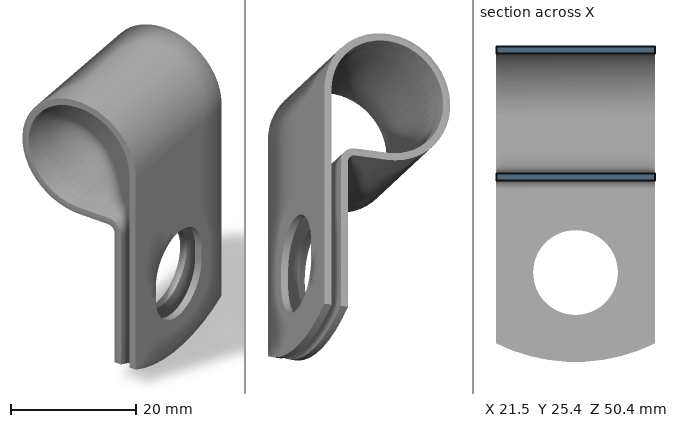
import cadquery as cq

height = 50.4
width = 25.4
loop_diameter = 21.5
thickness = 1.2

tab_gap = 1.6
bend_inner_radius = 1.2
hole_diameter = 13.5
hole_height = 14.25
slot_extension = 1.2
tip_rise = 2.95

outer_radius = loop_diameter / 2
inner_radius = outer_radius - thickness
bend_outer_radius = bend_inner_radius + thickness
bottom = outer_radius - height
short_tab_right = inner_radius - tab_gap
short_tab_left = short_tab_right - thickness
bend_x = short_tab_left - bend_inner_radius
bend_z = -outer_radius - bend_inner_radius
half_width = width / 2
diagonal = 0.5 ** 0.5


def make_strip():
    """Bent strip: long tab, three-quarter loop, flat, bend and short tab."""
    profile = (
        cq.Workplane("XZ")
        .moveTo(outer_radius, bottom)
        .lineTo(outer_radius, 0)
        .threePointArc((-outer_radius * diagonal, outer_radius * diagonal), (0, -outer_radius))
        .lineTo(bend_x, -outer_radius)
        .threePointArc(
            (bend_x + bend_inner_radius * diagonal, bend_z + bend_inner_radius * diagonal),
            (short_tab_left, bend_z),
        )
        .lineTo(short_tab_left, bottom)
        .lineTo(short_tab_right, bottom)
        .lineTo(short_tab_right, bend_z)
        .threePointArc(
            (bend_x + bend_outer_radius * diagonal, bend_z + bend_outer_radius * diagonal),
            (bend_x, -inner_radius),
        )
        .lineTo(0, -inner_radius)
        .threePointArc((-inner_radius * diagonal, inner_radius * diagonal), (inner_radius, 0))
        .lineTo(inner_radius, bottom)
        .close()
    )
    return profile.extrude(half_width, both=True)


def make_side_outline():
    """Block spanning the part in X, with the rounded tab tips as its lower edge."""
    outline = (
        cq.Workplane("YZ")
        .moveTo(-half_width, outer_radius)
        .lineTo(-half_width, bottom + tip_rise)
        .threePointArc((0, bottom), (half_width, bottom + tip_rise))
        .lineTo(half_width, outer_radius)
        .close()
    )
    return outline.extrude(outer_radius, both=True)


def make_round_hole():
    """Cylinder along X that passes through the short tab only."""
    return (
        cq.Workplane("YZ", origin=(short_tab_left, 0, bottom + hole_height))
        .circle(hole_diameter / 2)
        .extrude(thickness)
    )


def make_slot():
    """Upright slot through the long tab, centred on the round hole."""
    slot_length = hole_diameter + 2 * slot_extension
    return (
        cq.Workplane("YZ", origin=(inner_radius, 0, bottom + hole_height))
        .slot2D(slot_length, hole_diameter, 90)
        .extrude(thickness)
    )


clamp = make_strip().intersect(make_side_outline())
result = clamp.cut(make_round_hole()).cut(make_slot())